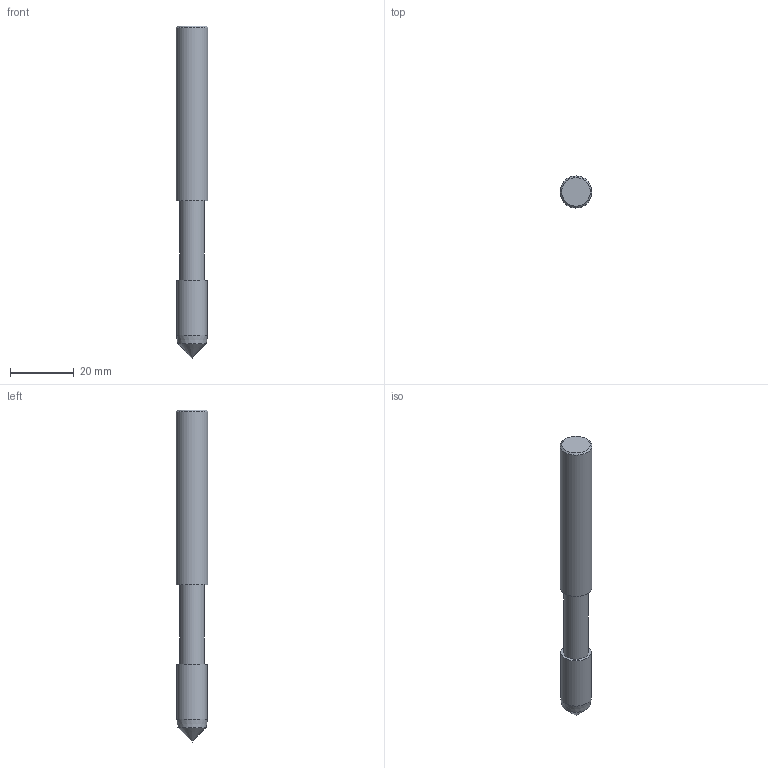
import cadquery as cq

total_length = 104.51
top_z = total_length / 2
tip_z = -total_length / 2

barrel_radius = 5.0
barrel_length = 55.0
top_chamfer = 0.5
barrel_bottom_z = top_z - barrel_length

shaft_radius = 3.9
shaft_length = 25.0
head_radius = 4.85
head_length = 17.4
tip_length = 4.51
tip_radius = tip_length
head_top_z = barrel_bottom_z - shaft_length
taper_top_z = head_top_z - head_length
tip_base_z = tip_z + tip_length


def make_barrel():
    """Round barrel standing on the end of the plunger shaft."""
    return (
        cq.Workplane("XY", origin=(0, 0, barrel_bottom_z))
        .circle(barrel_radius)
        .extrude(barrel_length)
        .faces(">Z")
        .chamfer(top_chamfer)
    )


def make_plunger():
    """Stepped plunger, revolved from its half profile about the Z axis."""
    half_profile = [
        (0, barrel_bottom_z),
        (shaft_radius, barrel_bottom_z),
        (shaft_radius, head_top_z),
        (head_radius, head_top_z),
        (head_radius, taper_top_z),
        (tip_radius, tip_base_z),
        (0, tip_z),
    ]
    return cq.Workplane("XZ").polyline(half_profile).close().revolve(360, (0, 0), (0, 1))


barrel = make_barrel()
plunger = make_plunger()

result = cq.Compound.makeCompound([barrel.val(), plunger.val()])